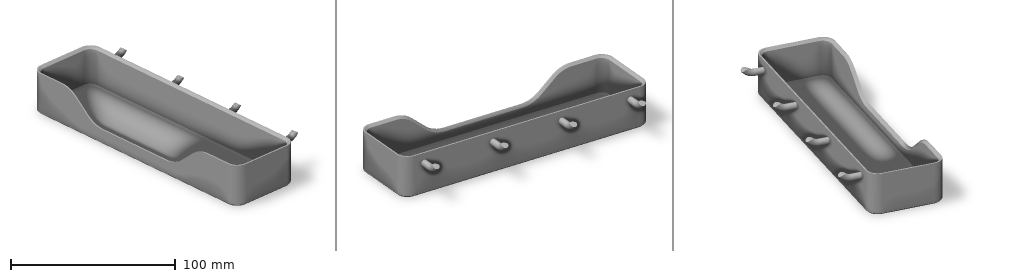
import cadquery as cq
import math

length = 180.0
depth = 50.0
height = 28.0
corner_radius = 8.0
wall = 2.3
floor = 2.0
edge_chamfer = 1.0
rim_chamfer = 1.5

scoop_drop = 18.0
scoop_floor_half = 28.0
scoop_radius = 20.0
scoop_angle = math.radians(40)

peg_diameter = 4.5
peg_count = 4
peg_pitch = 50.0
peg_below_rim = 6.8
peg_straight = 6.3
bend_radius = 8.5
bend_angle = 55
tip_rise = 3.8


def make_tray():
    """Open rounded box with a chamfered base and a chamfer around its floor."""
    body = cq.Workplane("XY").box(length, depth, height, centered=(True, True, False))
    body = body.edges("|Z").fillet(corner_radius).faces("<Z").chamfer(edge_chamfer)
    cavity = (
        cq.Workplane("XY")
        .workplane(offset=floor)
        .rect(length - 2 * wall, depth - 2 * wall)
        .extrude(height)
        .edges("|Z")
        .fillet(corner_radius - wall)
        .faces("<Z")
        .chamfer(edge_chamfer)
    )
    return body.cut(cavity)


def make_scoop():
    """Cutter for the front wall: flat bottom and S-shaped sides tangent to the rim."""
    low = height - scoop_drop
    arc_run = scoop_radius * math.sin(scoop_angle)
    arc_rise = scoop_radius * (1 - math.cos(scoop_angle))
    mid_run = scoop_radius * math.sin(scoop_angle / 2)
    mid_rise = scoop_radius * (1 - math.cos(scoop_angle / 2))
    slope_run = (scoop_drop - 2 * arc_rise) / math.tan(scoop_angle)
    rim_half = scoop_floor_half + 2 * arc_run + slope_run
    profile = (
        cq.Workplane("XZ")
        .moveTo(-rim_half, height)
        .threePointArc((-rim_half + mid_run, height - mid_rise), (-rim_half + arc_run, height - arc_rise))
        .lineTo(-scoop_floor_half - arc_run, low + arc_rise)
        .threePointArc((-scoop_floor_half - mid_run, low + mid_rise), (-scoop_floor_half, low))
        .lineTo(scoop_floor_half, low)
        .threePointArc((scoop_floor_half + mid_run, low + mid_rise), (scoop_floor_half + arc_run, low + arc_rise))
        .lineTo(rim_half - arc_run, height - arc_rise)
        .threePointArc((rim_half - mid_run, height - mid_rise), (rim_half, height))
        .close()
    )
    return profile.extrude(depth)


def chamfer_rim(tray):
    """Chamfer the inner edge of the rim, following the scoop."""
    margin = 0.02
    scoop_low = height - scoop_drop
    inner_rim = cq.selectors.BoxSelector(
        (-length / 2 + wall - margin, -depth / 2 + wall - margin, scoop_low - margin),
        (length / 2 - wall + margin, depth / 2 - wall + margin, height + margin),
        boundingbox=True,
    )
    return tray.edges(inner_rim).edges("not |Z").chamfer(rim_chamfer)


def make_peg(x):
    """Round peg running straight back, then bending upward to a tip trimmed level on top."""
    base_y = depth / 2 - wall / 2
    bend_y = depth / 2 + peg_straight
    z = height - peg_below_rim
    angle = math.radians(bend_angle)

    def bend_point(turn):
        return (bend_y + bend_radius * math.sin(turn), z + bend_radius * (1 - math.cos(turn)))

    path = (
        cq.Workplane("YZ", origin=(x, 0, 0))
        .moveTo(base_y, z)
        .lineTo(bend_y, z)
        .threePointArc(bend_point(angle / 2), bend_point(angle))
    )
    peg = cq.Workplane("XZ", origin=(x, base_y, z)).circle(peg_diameter / 2).sweep(path)
    trim_size = 4 * peg_diameter
    trim = cq.Workplane("XY", origin=(x, bend_y, z + tip_rise)).rect(trim_size, trim_size).extrude(trim_size)
    return peg.cut(trim)


result = chamfer_rim(make_tray().cut(make_scoop()))
for index in range(peg_count):
    result = result.union(make_peg((index - (peg_count - 1) / 2) * peg_pitch))